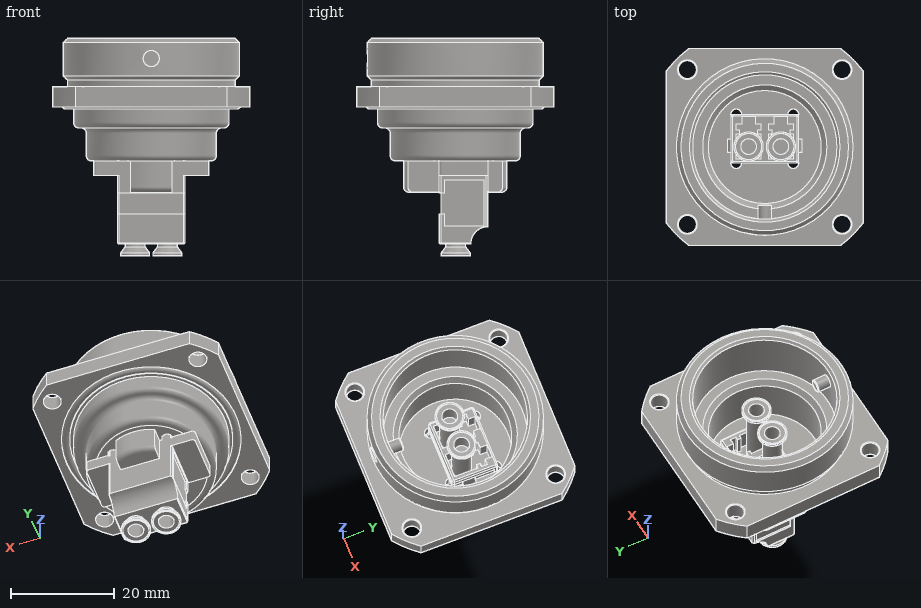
import cadquery as cq
import math


RIM_Z = 13.3
COLLAR_R = 17.0
COLLAR_CHAMFER = 0.9
COLLAR_BOTTOM_Z = 6.0
NECK_R = 16.2
FLANGE_SIDE = 38.0
FLANGE_T = 3.95
FLANGE_CORNER_R = 24.0
SHOULDER_R = 15.0
SHOULDER_BOTTOM_Z = -4.05
TAIL_R = 12.55
TAIL_BOTTOM_Z = -10.37
EDGE_R = 1.0
MOUTH_R = 14.5
MOUTH_CHAMFER_T = 0.4
SOCKET_R = 13.9
LEDGE_Z = 2.77
LEDGE_R = 11.95
BORE_R = 10.88
BORE_TOP_Z = 1.9
MOUNT_HOLE_R = 1.72
MOUNT_HOLE_CHAMFER = 0.15
MOUNT_HOLE_OFFSET = 14.9

RING_WIRE_R = 0.8
RING_R = 16.5
RING_PROUD = 0.38
RING_GROOVE_T = 2 * RING_WIRE_R - RING_PROUD

PIN_Z = 9.35
PIN_HEAD_R = 1.55
PIN_SHAFT_R = 1.25
PIN_HEAD_Y = -16.1
PIN_STEP_Y = -15.1
PIN_TIP_Y = -11.15
PIN_TIP_CHAMFER = 0.15

COUPLER_W = 13.0
COUPLER_FRONT_Y = -3.1
COUPLER_BACK_Y = 6.3
COUPLER_TOP_Z = -4.33
COUPLER_BOTTOM_Z = -26.35
COUPLER_CHAMFER = 0.35
COUPLER_BOTTOM_CHAMFER = 0.15
EAR_SPAN = 22.18
EAR_BOTTOM_Z = -13.2
EAR_CORNER_R = 0.65
FINGER_CUT_R = 3.28
RECESS_T = 0.35
RECESS_BACK_Y = 5.55
RECESS_STEP_Y = -2.05
PANEL_TOP_Z = -14.05
PANEL_BOTTOM_Z = -22.9
BAND_TOP_Z = -16.55
BAND_BOTTOM_Z = -20.6

PORT_X = 3.1
PORT_Y = 0.1
PORT_SIDE = 4.85
PORT_DEPTH = 4.2
LATCH_NECK_W = 3.45
LATCH_WIDE_FROM_Y = 3.28
LATCH_WIDE_TO_Y = 4.45
LATCH_SLOT_W = 2.6
LATCH_SLOT_END_Y = 5.9
PLUG_NECK_R = 1.95
PLUG_HEAD_R = 2.8
PLUG_HEAD_T = 0.6
PLUG_CONE_T = 1.18
PLUG_BORE_R = 1.5
PLUG_BORE_DEPTH = 5.05
PLUG_FACE_R = 2.5
PLUG_FACE_RECESS = 0.13
PLUG_SEAT_DEPTH = 3.35
PLUG_TOP_Z = 5.55
PLUG_BOTTOM_Z = -28.7
UPPER_SEAT_Z = COUPLER_TOP_Z - PORT_DEPTH - PLUG_SEAT_DEPTH
LOWER_SEAT_Z = COUPLER_BOTTOM_Z + PLUG_SEAT_DEPTH

FLOOR_TOP_Z = -7.4
RELIEF_R = 1.0
LEG_R = 9.95
LEG_W = 7.95
LEG_BOTTOM_Z = -16.42
LEG_INNER_R = 0.25

CLIP_TOP_Z = -5.95
WING_SPREAD = 0.67
WING_FRONT_Y = -1.05
WING_BACK_Y = 1.5


def block(x0, x1, y0, y1, z0, z1):
    """Box between two opposite corners."""
    solid = cq.Workplane("XY").box(x1 - x0, y1 - y0, z1 - z0, centered=False)
    return solid.translate((x0, y0, z0))


def cylinder(radius, z0, z1):
    """Cylinder on the Z axis."""
    return cq.Workplane("XY").workplane(offset=z0).circle(radius).extrude(z1 - z0)


def revolve_z(profile):
    """Turn an (r, z) profile about the Z axis."""
    return profile.close().revolve(360, (0, 0, 0), (0, 1, 0))


def ring_groove():
    """Annular groove for the O-ring, cut up from the flange underside."""
    inner = cylinder(RING_R - RING_WIRE_R, 0, RING_GROOVE_T)
    return cylinder(RING_R + RING_WIRE_R, 0, RING_GROOVE_T).cut(inner)


def pin_solid(outer_y):
    """Stepped pin pointing along +Y, with its head starting at outer_y."""
    head = cq.Workplane("XZ", origin=(0, outer_y, PIN_Z)).circle(PIN_HEAD_R).extrude(outer_y - PIN_STEP_Y)
    shaft = (
        cq.Workplane("XZ", origin=(0, PIN_STEP_Y, PIN_Z))
        .circle(PIN_SHAFT_R)
        .extrude(PIN_STEP_Y - PIN_TIP_Y)
        .faces(">Y")
        .chamfer(PIN_TIP_CHAMFER)
    )
    return head.union(shaft)


def make_housing():
    arc_mid = EDGE_R * (1 - math.sqrt(0.5))
    turned = revolve_z(
        cq.Workplane("XZ")
        .moveTo(MOUTH_R, RIM_Z)
        .lineTo(COLLAR_R - COLLAR_CHAMFER, RIM_Z)
        .lineTo(COLLAR_R, RIM_Z - COLLAR_CHAMFER)
        .lineTo(COLLAR_R, COLLAR_BOTTOM_Z)
        .lineTo(NECK_R, COLLAR_BOTTOM_Z - (COLLAR_R - NECK_R))
        .lineTo(NECK_R, 0)
        .lineTo(SHOULDER_R, 0)
        .lineTo(SHOULDER_R, SHOULDER_BOTTOM_Z + EDGE_R)
        .threePointArc(
            (SHOULDER_R - arc_mid, SHOULDER_BOTTOM_Z + arc_mid),
            (SHOULDER_R - EDGE_R, SHOULDER_BOTTOM_Z),
        )
        .lineTo(TAIL_R + EDGE_R, SHOULDER_BOTTOM_Z)
        .threePointArc(
            (TAIL_R + arc_mid, SHOULDER_BOTTOM_Z - arc_mid),
            (TAIL_R, SHOULDER_BOTTOM_Z - EDGE_R),
        )
        .lineTo(TAIL_R, TAIL_BOTTOM_Z + EDGE_R)
        .threePointArc(
            (TAIL_R - arc_mid, TAIL_BOTTOM_Z + arc_mid),
            (TAIL_R - EDGE_R, TAIL_BOTTOM_Z),
        )
        .lineTo(BORE_R, TAIL_BOTTOM_Z)
        .lineTo(BORE_R, BORE_TOP_Z)
        .lineTo(LEDGE_R, LEDGE_Z)
        .lineTo(SOCKET_R, LEDGE_Z)
        .lineTo(SOCKET_R, RIM_Z - MOUTH_CHAMFER_T)
    )
    half_side = FLANGE_SIDE / 2
    flange = (
        block(-half_side, half_side, -half_side, half_side, 0, FLANGE_T)
        .intersect(cylinder(FLANGE_CORNER_R, 0, FLANGE_T))
        .cut(cylinder(NECK_R, 0, FLANGE_T))
        .faces(">Z")
        .workplane(origin=(0, 0, FLANGE_T))
        .rect(2 * MOUNT_HOLE_OFFSET, 2 * MOUNT_HOLE_OFFSET, forConstruction=True)
        .vertices()
        .cskHole(2 * MOUNT_HOLE_R, 2 * (MOUNT_HOLE_R + MOUNT_HOLE_CHAMFER), 90)
    )
    return turned.union(flange).cut(ring_groove()).cut(pin_solid(-COLLAR_R))


def make_o_ring():
    ring_z = RING_WIRE_R - RING_PROUD
    section = cq.Workplane("XZ").center(RING_R, ring_z).circle(RING_WIRE_R)
    return section.revolve(360, (-RING_R, 0, 0), (-RING_R, 1, 0))


def make_pin():
    return pin_solid(PIN_HEAD_Y)


def coupler_envelope():
    """Chamfered block of the coupler, without its ears and cut-outs."""
    half_w = COUPLER_W / 2
    return (
        block(-half_w, half_w, COUPLER_FRONT_Y, COUPLER_BACK_Y, COUPLER_BOTTOM_Z, COUPLER_TOP_Z)
        .edges("|Z")
        .chamfer(COUPLER_CHAMFER)
        .faces(">Z")
        .chamfer(COUPLER_CHAMFER)
        .faces("<Z")
        .chamfer(COUPLER_BOTTOM_CHAMFER)
    )


def front_skin(z0, z1):
    """Shallow layer over the -Y face of the coupler."""
    half_w = COUPLER_W / 2
    return block(-half_w, half_w, COUPLER_FRONT_Y, COUPLER_FRONT_Y + RECESS_T, z0, z1)


def side_skins(front_y, z0, z1):
    """Shallow layers over both X faces of the coupler."""
    half_w = COUPLER_W / 2
    left = block(-half_w, RECESS_T - half_w, front_y, RECESS_BACK_Y, z0, z1)
    return left.union(left.mirror("YZ"))


def clip_band():
    """Layer that wraps the front and both sides of the coupler above the insert floor."""
    front = front_skin(FLOOR_TOP_Z, CLIP_TOP_Z)
    sides = side_skins(COUPLER_FRONT_Y, FLOOR_TOP_Z, CLIP_TOP_Z)
    return front.union(sides).intersect(coupler_envelope())


def port_cutter():
    """Square port with a stepped latch slot on its +Y side, centred on X = 0."""
    floor_z = COUPLER_TOP_Z - PORT_DEPTH
    half_side = PORT_SIDE / 2
    square_end_y = PORT_Y + half_side
    port = block(-half_side, half_side, PORT_Y - half_side, square_end_y, floor_z, COUPLER_TOP_Z)
    latch_steps = [
        (LATCH_NECK_W, square_end_y, LATCH_WIDE_FROM_Y),
        (PORT_SIDE, LATCH_WIDE_FROM_Y, LATCH_WIDE_TO_Y),
        (LATCH_SLOT_W, LATCH_WIDE_TO_Y, LATCH_SLOT_END_Y),
    ]
    for width, y0, y1 in latch_steps:
        port = port.union(block(-width / 2, width / 2, y0, y1, floor_z, COUPLER_TOP_Z))
    return port


def make_coupler():
    body = coupler_envelope()
    ears = (
        block(-EAR_SPAN / 2, EAR_SPAN / 2, COUPLER_FRONT_Y, COUPLER_BACK_Y, EAR_BOTTOM_Z, TAIL_BOTTOM_Z)
        .edges("|Z")
        .fillet(EAR_CORNER_R)
    )
    body = body.union(ears)

    body = body.cut(side_skins(RECESS_STEP_Y, PANEL_BOTTOM_Z, PANEL_TOP_Z))
    body = body.cut(side_skins(COUPLER_FRONT_Y, BAND_BOTTOM_Z, BAND_TOP_Z))
    body = body.cut(front_skin(BAND_BOTTOM_Z, BAND_TOP_Z))

    body = body.cut(clip_band())

    finger_cut = (
        cq.Workplane("YZ", origin=(-COUPLER_W / 2, COUPLER_BACK_Y, COUPLER_BOTTOM_Z))
        .circle(FINGER_CUT_R)
        .extrude(COUPLER_W)
    )
    body = body.cut(finger_cut)

    for x in (-PORT_X, PORT_X):
        body = body.cut(port_cutter().translate((x, 0, 0)))
        body = body.cut(cylinder(PLUG_NECK_R, UPPER_SEAT_Z, COUPLER_TOP_Z).translate((x, PORT_Y, 0)))
        body = body.cut(cylinder(PLUG_NECK_R, COUPLER_BOTTOM_Z, LOWER_SEAT_Z).translate((x, PORT_Y, 0)))
    return body


def make_clip():
    half_w = COUPLER_W / 2
    clip = clip_band()
    wing = (
        cq.Workplane("XZ", origin=(0, WING_BACK_Y, 0))
        .polyline(
            [
                (half_w - RECESS_T, CLIP_TOP_Z),
                (half_w, CLIP_TOP_Z),
                (half_w + WING_SPREAD, FLOOR_TOP_Z),
                (half_w + WING_SPREAD - RECESS_T, FLOOR_TOP_Z),
            ]
        )
        .close()
        .extrude(WING_BACK_Y - WING_FRONT_Y)
    )
    return clip.union(wing).union(wing.mirror("YZ"))


def make_insert():
    floor = cylinder(BORE_R, TAIL_BOTTOM_Z, FLOOR_TOP_Z)
    relief_x = COUPLER_W / 2 - RELIEF_R
    reliefs = [(x, y) for x in (-relief_x, relief_x) for y in (COUPLER_FRONT_Y, COUPLER_BACK_Y)]
    for x, y in reliefs:
        floor = floor.cut(cylinder(RELIEF_R, TAIL_BOTTOM_Z, FLOOR_TOP_Z).translate((x, y, 0)))
    floor = floor.cut(coupler_envelope())

    leg_round = cylinder(LEG_R, LEG_BOTTOM_Z, TAIL_BOTTOM_Z).faces("<Z").edges().fillet(EDGE_R)
    for y0, y1, inner_side in ((COUPLER_BACK_Y, LEG_R, "<Y"), (-LEG_R, COUPLER_FRONT_Y, ">Y")):
        leg = block(-LEG_W / 2, LEG_W / 2, y0, y1, LEG_BOTTOM_Z, TAIL_BOTTOM_Z).intersect(leg_round)
        leg = leg.faces(inner_side).edges("<Z").fillet(LEG_INNER_R)
        floor = floor.union(leg)
    return floor


def make_plug(length):
    """Bored plug with a recessed face, its head at Z = 0 and its neck pointing down."""
    cone_end_z = -PLUG_HEAD_T - PLUG_CONE_T
    return revolve_z(
        cq.Workplane("XZ")
        .moveTo(0, -length)
        .lineTo(PLUG_NECK_R, -length)
        .lineTo(PLUG_NECK_R, cone_end_z)
        .lineTo(PLUG_HEAD_R, -PLUG_HEAD_T)
        .lineTo(PLUG_HEAD_R, 0)
        .lineTo(PLUG_FACE_R, 0)
        .lineTo(PLUG_FACE_R, -PLUG_FACE_RECESS)
        .lineTo(PLUG_BORE_R, -PLUG_FACE_RECESS)
        .lineTo(PLUG_BORE_R, -PLUG_BORE_DEPTH)
        .lineTo(0, -PLUG_BORE_DEPTH)
    )


def make_plugs():
    """One upper and one lower plug at each port."""
    upper = make_plug(PLUG_TOP_Z - UPPER_SEAT_Z)
    lower = make_plug(LOWER_SEAT_Z - PLUG_BOTTOM_Z).rotate((0, 0, 0), (1, 0, 0), 180)
    plugs = []
    for x in (-PORT_X, PORT_X):
        plugs.append(upper.translate((x, PORT_Y, PLUG_TOP_Z)))
        plugs.append(lower.translate((x, PORT_Y, PLUG_BOTTOM_Z)))
    return plugs


housing = make_housing()
o_ring = make_o_ring()
pin = make_pin()
insert = make_insert()
coupler = make_coupler()
clip = make_clip()
plugs = make_plugs()

result = cq.Compound.makeCompound(
    [
        housing.solids().val(),
        o_ring.val(),
        pin.solids().val(),
        insert.solids().val(),
        coupler.solids().val(),
        clip.solids().val(),
        *[plug.val() for plug in plugs],
    ]
)